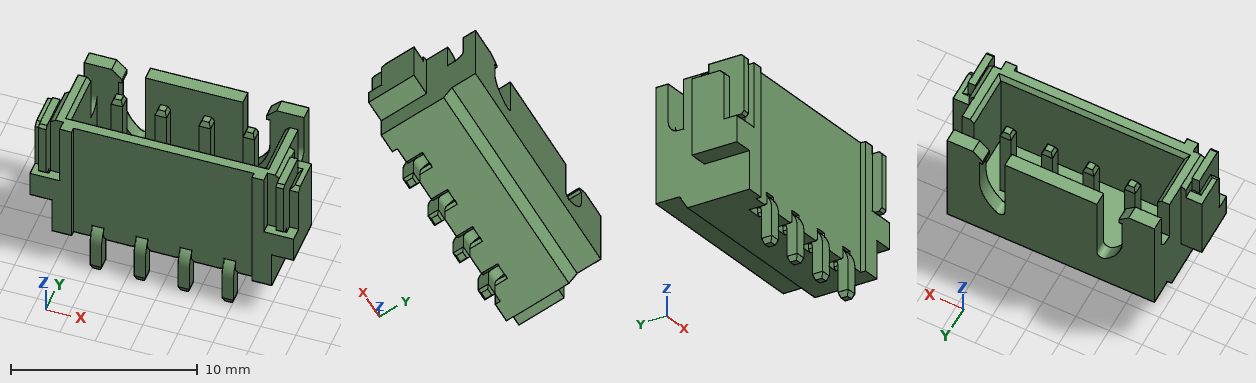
import cadquery as cq
import math


body_width = 12.51
body_depth = 6.0
body_height = 7.83
half_body = body_width / 2

cavity_width = 11.07
cavity_front = 1.11
latch_wall = 0.8
latch_wall_inner = body_depth - latch_wall
cavity_floor = 2.0
lead_in_width = 0.24
lead_in_depth = 0.24

front_relief_width = 10.26
front_relief_depth = 0.32

step_height = 0.81
step_start = 3.98
step_end = 4.5

side_slot_front = 4.23
side_slot_bottom = 4.83
side_slot_radius = 0.69

middle_wall_half = 2.78
hook_tip = 4.11
post_edge = 4.3
hook_flat = 4.7
hook_slope_height = 0.57
hook_tip_height = 0.27
post_arc_radius = 3.0
post_arc_top = 5.24
slot_fillet = 0.33

lug_outer = 7.5
lug_depth = 2.88
lug_bottom = 2.32
lug_top = 6.93
ledge_height = 3.93
lug_front = 0.81
lug_bevel_run = 0.27
lug_bevel_drop = 0.22
mouth_flare = 0.22
corner_notch_edge = 5.8
corner_notch_depth = 0.57

plate_inner = 6.54
plate_thickness = 0.44
plate_outer = plate_inner + plate_thickness
plate_back = 2.15
plate_overhang = 0.12
plate_bevel = 0.16
plate_foot_front = 0.36
plate_foot_height = 0.32

pin_count = 4
pin_row_span = 7.5
pin_pitch = pin_row_span / (pin_count - 1)
pin_size = 0.66
pin_row_y = 3.7
pin_top = 7.47
pin_bottom = -2.18
pin_tip_length = 0.33
pin_tip_size = 0.4
bend_radius = 1.34
bend_center_z = -0.22

notch_height = 0.82
notch_flare = 0.16

pin_positions = [(i - (pin_count - 1) / 2) * pin_pitch for i in range(pin_count)]


def box(x_range, y_range, z_range):
    """Axis-aligned box between the given limits."""
    size = [high - low for low, high in (x_range, y_range, z_range)]
    corner = (x_range[0], y_range[0], z_range[0])
    return cq.Workplane("XY").box(*size, centered=False).translate(corner)


def mirrored(shape):
    """The shape together with its mirror image across X = 0."""
    return shape.union(shape.mirror("YZ"))


def extrude_along_x(points, x_start, x_end):
    """Solid with a polygon outline in (Y, Z), running between two X positions."""
    outline = cq.Workplane("YZ", origin=(x_start, 0, 0)).polyline(points).close()
    return outline.extrude(x_end - x_start)


def make_shell():
    """Box body with its rear underside stepped up."""
    profile = [
        (0, 0),
        (step_start, 0),
        (step_end, step_height),
        (body_depth, step_height),
        (body_depth, body_height),
        (0, body_height),
    ]
    return extrude_along_x(profile, -half_body, half_body)


def make_cavity():
    """Plug cavity with a bevelled lead-in along the front and side walls."""
    half = cavity_width / 2
    pocket = box((-half, half), (cavity_front, latch_wall_inner), (cavity_floor, body_height))
    mouth_depth = latch_wall_inner - cavity_front
    lead_in = (
        cq.Workplane("XY", origin=(0, cavity_front + mouth_depth / 2, body_height - lead_in_depth))
        .rect(cavity_width, mouth_depth)
        .workplane(offset=lead_in_depth)
        .rect(cavity_width + 2 * lead_in_width, mouth_depth + 2 * lead_in_width)
        .loft(ruled=True)
    )
    in_front_of_latch = box((-half_body, half_body), (0, latch_wall_inner), (0, body_height))
    return pocket.union(lead_in.intersect(in_front_of_latch))


def make_front_relief():
    half = front_relief_width / 2
    return box((-half, half), (0, front_relief_depth), (0, body_height))


def make_side_slots():
    """One slot across both side walls, rounded at the bottom against the latch wall."""
    slot = box(
        (-half_body, half_body),
        (side_slot_front, latch_wall_inner),
        (side_slot_bottom, body_height),
    )
    return slot.faces(">Y").edges("<Z").fillet(side_slot_radius)


def make_latch_slots():
    """Slots beside the latch posts: hooked at the top, curved in to the middle wall below."""
    arc_center_x = post_edge - post_arc_radius
    fillet_x = middle_wall_half + slot_fillet
    center_distance = post_arc_radius - slot_fillet
    tangent_angle = math.acos((fillet_x - arc_center_x) / center_distance)
    fillet_z = post_arc_top - center_distance * math.sin(tangent_angle)

    def on_post_arc(angle):
        return (
            arc_center_x + post_arc_radius * math.cos(angle),
            post_arc_top - post_arc_radius * math.sin(angle),
        )

    fillet_mid_angle = (tangent_angle + math.pi) / 2
    fillet_mid = (
        fillet_x + slot_fillet * math.cos(fillet_mid_angle),
        fillet_z - slot_fillet * math.sin(fillet_mid_angle),
    )
    tip_top = body_height - hook_slope_height
    tip_bottom = tip_top - hook_tip_height
    slot = (
        cq.Workplane("XZ", origin=(0, latch_wall_inner, 0))
        .moveTo(middle_wall_half, body_height)
        .lineTo(hook_flat, body_height)
        .lineTo(hook_tip, tip_top)
        .lineTo(hook_tip, tip_bottom)
        .lineTo(post_edge, tip_bottom)
        .lineTo(post_edge, post_arc_top)
        .threePointArc(on_post_arc(tangent_angle / 2), on_post_arc(tangent_angle))
        .threePointArc(fillet_mid, (middle_wall_half, fillet_z))
        .close()
        .extrude(-latch_wall)
    )
    return mirrored(slot)


def make_lug():
    """Right-hand lug: a foot, an upright cheek and the thickened body wall beside it."""
    foot = box((half_body, lug_outer), (0, lug_depth), (lug_bottom, ledge_height))
    cheek_profile = [
        (lug_front, ledge_height),
        (lug_depth, ledge_height),
        (lug_depth, lug_top),
        (lug_front + lug_bevel_run, lug_top),
        (lug_front, lug_top - lug_bevel_drop),
    ]
    cheek = extrude_along_x(cheek_profile, half_body, lug_outer)
    thick_wall = box((half_body, plate_inner), (0, lug_depth), (ledge_height, body_height))
    wall_bevel = (
        cq.Workplane("XZ")
        .moveTo(half_body, body_height)
        .lineTo(plate_inner, body_height)
        .lineTo(plate_inner, body_height - lug_bevel_drop)
        .close()
        .extrude(-lug_depth)
    )
    return foot.union(cheek).union(thick_wall.cut(wall_bevel)).cut(make_plate_channel())


def make_plate_channel():
    """Channel that holds a retention plate, with a flared mouth at the top of the lug."""
    channel = box((plate_inner, plate_outer), (0, plate_back), (ledge_height, lug_top))
    mouth = (
        cq.Workplane("XY", origin=(plate_inner, 0, lug_top - lug_bevel_drop))
        .rect(2 * plate_thickness, 2 * plate_back)
        .workplane(offset=lug_bevel_drop)
        .rect(2 * (plate_thickness + mouth_flare), 2 * (plate_back + mouth_flare))
        .loft(ruled=True)
    )
    beside_wall = box((plate_inner, lug_outer), (0, lug_depth), (ledge_height, lug_top))
    return channel.union(mouth.intersect(beside_wall))


def make_corner_notch():
    """Notch in the right front corner, open above the lug ledge."""
    return box((corner_notch_edge, plate_inner), (0, corner_notch_depth), (ledge_height, body_height))


def make_pin_notch(x):
    """Opening around a pin bend in the front face, flared at the underside."""
    half = pin_size / 2
    return (
        cq.Workplane("XZ", origin=(x, 0, 0))
        .moveTo(-half - notch_flare, 0)
        .lineTo(half + notch_flare, 0)
        .lineTo(half, notch_flare)
        .lineTo(half, notch_height)
        .lineTo(-half, notch_height)
        .lineTo(-half, notch_flare)
        .close()
        .extrude(-bend_radius)
    )


def make_pin_tip(x, y, z_base, z_end):
    """Square taper from the full pin section to the pin end."""
    return (
        cq.Workplane("XY", origin=(x, y, z_base))
        .rect(pin_size, pin_size)
        .workplane(offset=z_end - z_base)
        .rect(pin_tip_size, pin_tip_size)
        .loft(ruled=True)
    )


def make_pin(x):
    """Square pin: contact post, run through the housing floor, bend and solder leg."""
    inner_radius = bend_radius - pin_size
    run_top = bend_center_z + bend_radius
    run_bottom = run_top - pin_size
    post_front = pin_row_y - pin_size / 2
    post_back = pin_row_y + pin_size / 2
    post_end = pin_top - pin_tip_length
    leg_end = pin_bottom + pin_tip_length
    diagonal = math.sqrt(0.5)
    outer_mid = (bend_radius * (1 - diagonal), bend_center_z + bend_radius * diagonal)
    inner_mid = (bend_radius - inner_radius * diagonal, bend_center_z + inner_radius * diagonal)
    shank = (
        cq.Workplane("YZ", origin=(x - pin_size / 2, 0, 0))
        .moveTo(0, leg_end)
        .lineTo(0, bend_center_z)
        .threePointArc(outer_mid, (bend_radius, run_top))
        .lineTo(post_front, run_top)
        .lineTo(post_front, post_end)
        .lineTo(post_back, post_end)
        .lineTo(post_back, run_bottom)
        .lineTo(bend_radius, run_bottom)
        .threePointArc(inner_mid, (pin_size, bend_center_z))
        .lineTo(pin_size, leg_end)
        .close()
        .extrude(pin_size)
    )
    contact_tip = make_pin_tip(x, pin_row_y, post_end, pin_top)
    solder_tip = make_pin_tip(x, pin_size / 2, leg_end, pin_bottom)
    return shank.union(contact_tip).union(solder_tip)


def make_plate():
    """Right-hand retention plate, standing on the lug ledge and proud of the lug front."""
    foot_top = ledge_height + plate_foot_height
    front = -plate_overhang
    profile = [
        (plate_foot_front, ledge_height),
        (plate_back, ledge_height),
        (plate_back, body_height),
        (front + plate_bevel, body_height),
        (front, body_height - plate_bevel),
        (front, foot_top + plate_bevel),
        (front + plate_bevel, foot_top),
        (plate_foot_front, foot_top),
    ]
    return extrude_along_x(profile, plate_inner, plate_outer)


def make_housing(pins):
    """Complete housing with a passage cut to fit each pin."""
    housing = make_shell().union(mirrored(make_lug()))
    housing = housing.cut(mirrored(make_corner_notch()))
    housing = housing.cut(make_front_relief())
    housing = housing.cut(make_cavity())
    housing = housing.cut(make_side_slots())
    housing = housing.cut(make_latch_slots())
    for x in pin_positions:
        housing = housing.cut(make_pin_notch(x))
    for pin in pins:
        housing = housing.cut(pin)
    return housing


pins = [make_pin(x) for x in pin_positions]
housing = make_housing(pins)
right_plate = make_plate()
plates = [right_plate, right_plate.mirror("YZ")]

result = cq.Compound.makeCompound([body.val() for body in [housing, *pins, *plates]])